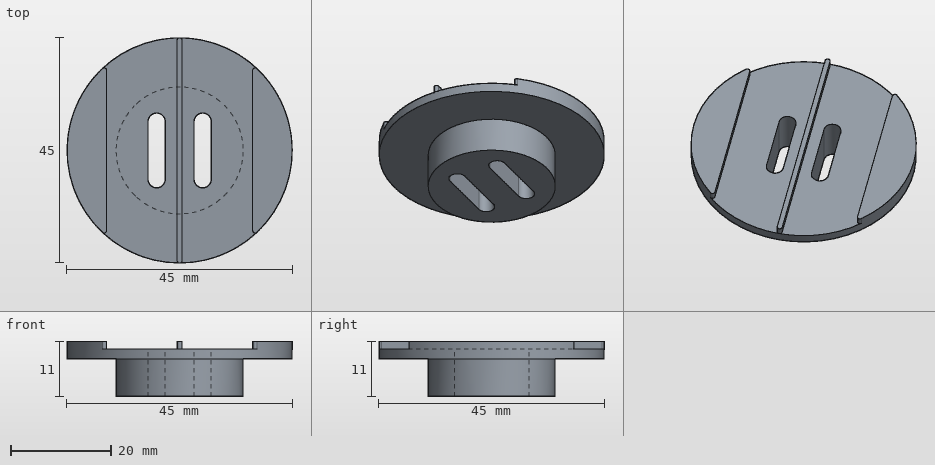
import cadquery as cq

plate_diameter = 45.0
floor_thickness = 2.0
hub_diameter = 25.4
hub_height = 7.5

ridge_height = 1.5
channel_width = 29.2
land_corner_radius = 0.5
rib_width = 1.0

slot_width = 3.4
slot_length = 14.9
slot_spacing = 9.2

floor_z = hub_height + floor_thickness
along_y = 90


def disc(diameter, bottom_z, height):
    """Solid disc on the Z axis, turned so that its seam lies at -Y, in line with the rib."""
    blank = cq.Workplane("XY", origin=(0, 0, bottom_z)).circle(diameter / 2).extrude(height)
    return blank.rotate((0, 0, 0), (0, 0, 1), -90)


def make_rib():
    """Central rib with fully rounded ends that reach the plate rim."""
    return (
        cq.Workplane("XY", origin=(0, 0, floor_z))
        .slot2D(plate_diameter, rib_width, along_y)
        .extrude(ridge_height)
    )


def make_land(side):
    """Land between the channel wall and the rim on one side (-1 or +1) of the plate."""
    land_width = (plate_diameter - channel_width) / 2
    center_x = side * (channel_width + land_width) / 2
    strip = (
        cq.Workplane("XY", origin=(center_x, 0, floor_z))
        .rect(land_width, plate_diameter)
        .extrude(ridge_height)
    )
    land = disc(plate_diameter, floor_z, ridge_height).intersect(strip)
    return land.edges("|Z").fillet(land_corner_radius)


def make_slots():
    """Cutter for the two slots, long in Y, through plate and hub."""
    return (
        cq.Workplane("XY")
        .pushPoints([(-slot_spacing / 2, 0), (slot_spacing / 2, 0)])
        .slot2D(slot_length, slot_width, along_y)
        .extrude(floor_z)
    )


hub = disc(hub_diameter, 0, hub_height)
plate = disc(plate_diameter, hub_height, floor_thickness)

result = hub.union(plate).cut(make_slots())
for land_side in (-1, 1):
    result = result.union(make_land(land_side))
result = result.union(make_rib())